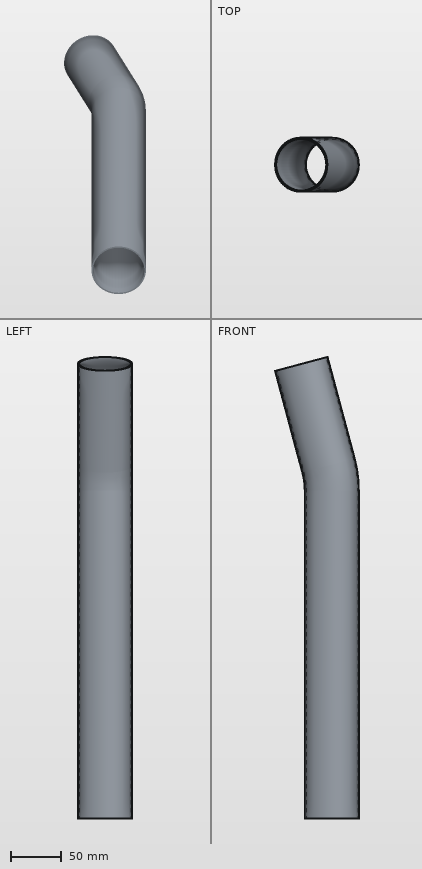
import cadquery as cq
import math

overall_height = 457.0
outer_diameter = 54.0
wall = 1.5
bend_angle = 15.0
bend_radius = 95.5
upper_length = 104.0

tilt = math.radians(bend_angle)
outer_radius = outer_diameter / 2
bend_rise = bend_radius * math.sin(tilt)
upper_rise = upper_length * math.cos(tilt) + outer_radius * math.sin(tilt)
lower_length = overall_height - bend_rise - upper_rise


def centerline_point(angle):
    """Point on the bend arc, which curves toward -X."""
    x = -bend_radius * (1 - math.cos(angle))
    z = lower_length + bend_radius * math.sin(angle)
    return (x, z)


bend_end = centerline_point(tilt)
upper_end = (
    bend_end[0] - upper_length * math.sin(tilt),
    bend_end[1] + upper_length * math.cos(tilt),
)
centerline = (
    cq.Workplane("XZ")
    .lineTo(0, lower_length)
    .threePointArc(centerline_point(tilt / 2), bend_end)
    .lineTo(*upper_end)
)

result = (
    cq.Workplane("XY")
    .circle(outer_radius)
    .circle(outer_radius - wall)
    .sweep(centerline)
)